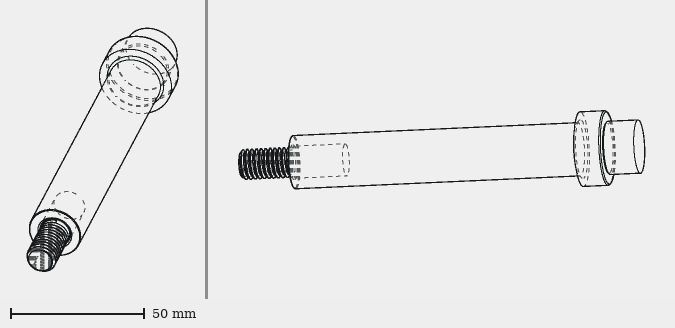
import cadquery as cq
import math

ROD_DIAMETER = 20.0
ROD_LENGTH = 110.0
ROD_END_CHAMFER = 0.3
COLLAR_DIAMETER = 28.0
COLLAR_WIDTH = 10.0
COLLAR_CHAMFER = 0.5
COLLAR_NECK_CHAMFER = 1.0
SPIGOT_LENGTH = 12.0
SPIGOT_CHAMFER = 0.5

SHANK_DIAMETER = 12.0
THREAD_DIAMETER = 11.3
THREAD_PITCH = 1.75
THREAD_LENGTH = 20.0
THREAD_ROOT_DIAMETER = 9.4
STUD_TIP_DIAMETER = 9.0
SHANK_DEPTH = 20.0
COUNTERSINK_DIAMETER = 13.2
CREST_FLAT = THREAD_PITCH / 8
FLANK_ANGLE = 30.0
CUT_CLEARANCE = 0.06
CUT_OVERRUN = 1.4

countersink_depth = (COUNTERSINK_DIAMETER - SHANK_DIAMETER) / 2


def revolve_about_y(points):
    """Revolve a closed outline of (radius, Y) points about the Y axis."""
    return cq.Workplane("XY").polyline(points).close().revolve(360, (0, 0, 0), (0, 1, 0))


def make_handle():
    rod_radius = ROD_DIAMETER / 2
    collar_radius = COLLAR_DIAMETER / 2
    hole_radius = SHANK_DIAMETER / 2
    collar_end = ROD_LENGTH + COLLAR_WIDTH
    spigot_end = collar_end + SPIGOT_LENGTH
    return revolve_about_y([
        (0, SHANK_DEPTH),
        (hole_radius, SHANK_DEPTH),
        (hole_radius, countersink_depth),
        (COUNTERSINK_DIAMETER / 2, 0),
        (rod_radius - ROD_END_CHAMFER, 0),
        (rod_radius, ROD_END_CHAMFER),
        (rod_radius, ROD_LENGTH - COLLAR_NECK_CHAMFER),
        (rod_radius + COLLAR_NECK_CHAMFER, ROD_LENGTH),
        (collar_radius, ROD_LENGTH),
        (collar_radius, collar_end - COLLAR_CHAMFER),
        (collar_radius - COLLAR_CHAMFER, collar_end),
        (rod_radius - SPIGOT_CHAMFER, collar_end),
        (rod_radius, collar_end + SPIGOT_CHAMFER),
        (rod_radius, spigot_end),
        (0, spigot_end),
    ])


def make_thread_cutter():
    """Helical V-groove, from beyond the stud's tip to the rod's end face."""
    crest_radius = THREAD_DIAMETER / 2
    root_radius = THREAD_ROOT_DIAMETER / 2
    outer_radius = crest_radius + CUT_CLEARANCE
    flank_slope = math.tan(math.radians(FLANK_ANGLE))
    outer_half = (THREAD_PITCH - CREST_FLAT) / 2 + CUT_CLEARANCE * flank_slope
    root_half = outer_half - (outer_radius - root_radius) * flank_slope
    height = THREAD_LENGTH + CUT_OVERRUN - outer_half
    helix = cq.Wire.makeHelix(THREAD_PITCH, height, crest_radius)
    groove = (
        cq.Workplane("XZ")
        .polyline([
            (root_radius, -root_half),
            (outer_radius, -outer_half),
            (outer_radius, outer_half),
            (root_radius, root_half),
        ])
        .close()
        .sweep(cq.Workplane(helix), isFrenet=True)
    )
    along_y = groove.rotate((0, 0, 0), (1, 0, 0), -90)
    return along_y.translate((0, -THREAD_LENGTH - CUT_OVERRUN, 0))


def make_stud():
    crest_radius = THREAD_DIAMETER / 2
    shank_radius = SHANK_DIAMETER / 2
    tip_radius = STUD_TIP_DIAMETER / 2
    tip_chamfer = crest_radius - tip_radius
    blank = revolve_about_y([
        (0, -THREAD_LENGTH),
        (tip_radius, -THREAD_LENGTH),
        (crest_radius, -THREAD_LENGTH + tip_chamfer),
        (crest_radius, countersink_depth),
        (shank_radius, countersink_depth),
        (shank_radius, SHANK_DEPTH),
        (0, SHANK_DEPTH),
    ])
    return blank.cut(make_thread_cutter())


handle = make_handle()
stud = make_stud()
result = cq.Compound.makeCompound([handle.val(), *stud.vals()])